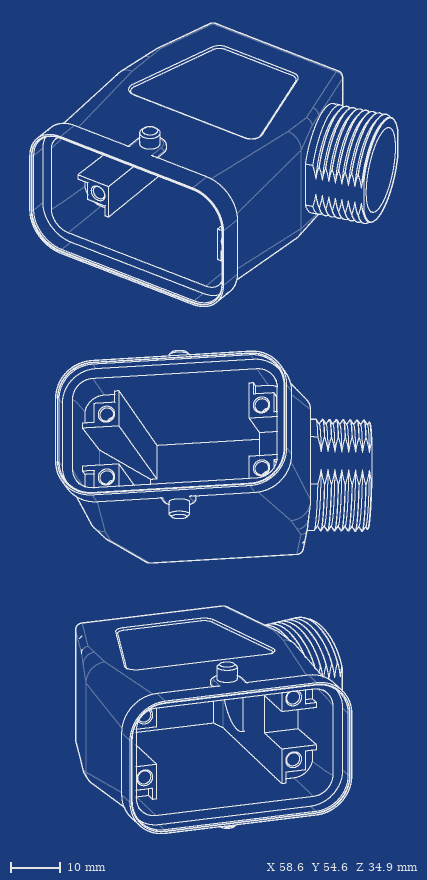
import cadquery as cq
import math


FLANGE_WIDTH = 48.05
FLANGE_HEIGHT = 28.6
FLANGE_DEPTH = 5.0
FLANGE_RADIUS = 7.6
RIM_WALL = 0.65
RIM_EDGE_CHAMFER = 0.25
LEDGE_DEPTH = 3.75

SHELL_WIDTH = 46.0
SHELL_HEIGHT = 26.6
SHELL_LENGTH = 54.1
BEND_Y = 29.2
LEAN = math.radians(15)
SHORT_BASE_RADIUS = 7.05
LONG_BASE_RADIUS = 7.5
SHORT_BEND_RADIUS = 3.3
LONG_BEND_RADIUS = 4.1
EDGE_RADIUS = 1.4
TOP_EDGE_RADIUS = 1.35
SHORT_BLEND_END = 35.45
LONG_BLEND_END = 39.3

CAVITY_WIDTH = 41.75
CAVITY_HEIGHT = 22.4
MOUTH_RADIUS = 4.2
CAVITY_DRAFT = 0.4
CAVITY_FLOOR_Y = 51.4
ENTRY_BLOCK_Y = 23.45
ENTRY_FLOOR_X = 12.65

BOSS_INNER_X = 13.55
BOSS_INNER_Z = 4.05
BOSS_FRONT_Y = 13.0
POCKET_FLOOR_Y = 15.4
POCKET_INNER_X = 14.4
POCKET_INNER_Z = 5.1
PILLAR_OUTER_X = 18.7
PILLAR_OUTER_Z = 9.15
SCREW_X = 16.1
SCREW_Z = 6.7
SCREW_DIAMETER = 2.8
SCREW_DEPTH = 7.05
SCREW_CHAMFER = 0.3

PIN_Y = 8.3
PIN_DIAMETER = 4.15
PIN_SPAN = 34.9
PIN_CHAMFER = 0.5
PAD_RADIUS = 3.4
PAD_EDGE_RADIUS = 0.65

ENTRY_END_X = 31.95
ENTRY_END_Y = 44.7
ENTRY_LENGTH = 17.6
THREAD_RADIUS = 11.4
THREAD_FLAT = 10.2
GROOVE_DEPTH = 1.0
GROOVE_PITCH = 1.4
GROOVE_WIDTH = 1.35
GROOVE_COUNT = 8
FIRST_GROOVE = 0.5
ENTRY_CHAMFER = 0.6
BORE_RADIUS = 8.8

LABEL_BOTTOM_Y = 22.35
LABEL_TOP_Y = 47.4
LABEL_BOTTOM_WIDTH = 33.7
LABEL_RADIUS = 2.35
LABEL_DEPTH = 0.4
LABEL_DRAFT = 45


def half_width_at(y):
    """Half the outer width of the shell at a given Y."""
    return SHELL_WIDTH / 2 - max(0.0, y - BEND_Y) * math.tan(LEAN)


def section(y, half_x, radii):
    """Rounded outline across Y; the radii run from (+X, +Z) through (-X, +Z) and (-X, -Z) to (+X, -Z)."""
    half_z = SHELL_HEIGHT / 2
    signs = ((1, 1), (-1, 1), (-1, -1), (1, -1))
    edges = []
    corners = []
    for (sx, sz), radius in zip(signs, radii):
        inset = radius * (1 - math.sqrt(0.5))
        on_side = cq.Vector(sx * half_x, y, sz * (half_z - radius))
        middle = cq.Vector(sx * (half_x - inset), y, sz * (half_z - inset))
        on_face = cq.Vector(sx * (half_x - radius), y, sz * half_z)
        start, end = (on_side, on_face) if sx == sz else (on_face, on_side)
        corners.append((start, middle, end))
    for index, (start, middle, end) in enumerate(corners):
        next_start = corners[(index + 1) % len(corners)][0]
        edges.append(cq.Edge.makeThreePointArc(start, middle, end))
        edges.append(cq.Edge.makeLine(end, next_start))
    return cq.Wire.assembleEdges(edges)


def make_shell():
    blend_part = (SHORT_BLEND_END - BEND_Y) / (LONG_BLEND_END - BEND_Y)
    long_radius = LONG_BEND_RADIUS + blend_part * (EDGE_RADIUS - LONG_BEND_RADIUS)
    stations = (
        (0.0, SHORT_BASE_RADIUS, LONG_BASE_RADIUS),
        (BEND_Y, SHORT_BEND_RADIUS, LONG_BEND_RADIUS),
        (SHORT_BLEND_END, EDGE_RADIUS, long_radius),
        (LONG_BLEND_END, EDGE_RADIUS, EDGE_RADIUS),
        (SHELL_LENGTH, EDGE_RADIUS, EDGE_RADIUS),
    )
    sections = [section(y, half_width_at(y), (short, long) * 2) for y, short, long in stations]
    shell = cq.Workplane(cq.Solid.makeLoft(sections, True))
    return shell.faces(">Y").edges().fillet(TOP_EDGE_RADIUS)


def rounded_block(width, height, radius, start_y, end_y):
    return (
        cq.Workplane("XZ", origin=(0, start_y, 0))
        .rect(width, height)
        .extrude(start_y - end_y)
        .edges("|Y")
        .fillet(radius)
    )


def make_rim_recess():
    def inset_block(inset, depth):
        width = FLANGE_WIDTH - 2 * inset
        height = FLANGE_HEIGHT - 2 * inset
        return rounded_block(width, height, FLANGE_RADIUS - inset, 0, depth)

    flare = inset_block(RIM_WALL - RIM_EDGE_CHAMFER, 2 * RIM_EDGE_CHAMFER)
    flare = flare.faces(">Y").chamfer(RIM_EDGE_CHAMFER)
    return inset_block(RIM_WALL, LEDGE_DEPTH).union(flare)


def box_between(x, y, z):
    size = (x[1] - x[0], y[1] - y[0], z[1] - z[0])
    return cq.Workplane("XY").box(*size, centered=False).translate((x[0], y[0], z[0]))


def make_boss():
    """The boss in the (+X, +Z) corner, larger than the cavity corner it fills."""
    outer_x = SHELL_WIDTH / 2
    outer_z = SHELL_HEIGHT / 2
    back = SHELL_LENGTH
    boss = box_between((BOSS_INNER_X, outer_x), (BOSS_FRONT_Y, back), (BOSS_INNER_Z, outer_z))
    pocket = box_between(
        (POCKET_INNER_X, outer_x), (BOSS_FRONT_Y, POCKET_FLOOR_Y), (POCKET_INNER_Z, outer_z)
    )
    pillar = box_between(
        (POCKET_INNER_X, PILLAR_OUTER_X), (BOSS_FRONT_Y, POCKET_FLOOR_Y), (POCKET_INNER_Z, PILLAR_OUTER_Z)
    )
    return boss.cut(pocket.cut(pillar))


def make_screw_hole():
    hole = cq.Workplane("XZ", origin=(SCREW_X, BOSS_FRONT_Y, SCREW_Z))
    hole = hole.circle(SCREW_DIAMETER / 2).extrude(-SCREW_DEPTH)
    mouth = cq.Solid.makeCone(
        SCREW_DIAMETER / 2 + SCREW_CHAMFER, SCREW_DIAMETER / 2, SCREW_CHAMFER,
        pnt=cq.Vector(SCREW_X, BOSS_FRONT_Y, SCREW_Z), dir=cq.Vector(0, 1, 0),
    )
    return hole.union(cq.Workplane(mouth))


def in_four_corners(shape):
    pair = shape.union(shape.mirror("YZ"))
    return pair.union(pair.mirror("XY"))


def make_cavity():
    half_x = CAVITY_WIDTH / 2
    mouth_x = half_x + CAVITY_DRAFT
    mouth_z = CAVITY_HEIGHT / 2 + CAVITY_DRAFT
    wall = SHELL_WIDTH / 2 - half_x
    inner_bend_y = BEND_Y - wall * math.tan(LEAN / 2)
    floor_x = half_x - (CAVITY_FLOOR_Y - inner_bend_y) * math.tan(LEAN)
    entry_bend_y = CAVITY_FLOOR_Y - (BOSS_INNER_X - ENTRY_FLOOR_X) / math.tan(LEAN)
    profile = (
        cq.Workplane("XY", origin=(0, 0, -mouth_z))
        .polyline([
            (-mouth_x, LEDGE_DEPTH),
            (-half_x, inner_bend_y),
            (-floor_x, CAVITY_FLOOR_Y),
            (ENTRY_FLOOR_X, CAVITY_FLOOR_Y),
            (BOSS_INNER_X, entry_bend_y),
            (BOSS_INNER_X, ENTRY_BLOCK_Y),
            (half_x, ENTRY_BLOCK_Y),
            (mouth_x, LEDGE_DEPTH),
        ])
        .close()
        .extrude(2 * mouth_z)
    )
    draft_angle = math.degrees(math.atan(CAVITY_DRAFT / (CAVITY_FLOOR_Y - LEDGE_DEPTH)))
    mouth = cq.Sketch().rect(2 * mouth_x, 2 * mouth_z).vertices().fillet(MOUTH_RADIUS)
    drafted_bore = (
        cq.Workplane("XZ", origin=(0, LEDGE_DEPTH, 0))
        .placeSketch(mouth)
        .extrude(LEDGE_DEPTH - CAVITY_FLOOR_Y, taper=draft_angle)
    )
    cavity = profile.intersect(drafted_bore).cut(in_four_corners(make_boss()))
    return cavity.union(in_four_corners(make_screw_hole()))


def entry_plane():
    """Plane on the outer end of the cable entry, with its normal pointing outwards along the axis."""
    return cq.Plane(
        origin=(ENTRY_END_X, ENTRY_END_Y, 0), xDir=(0, 0, 1), normal=(math.cos(LEAN), math.sin(LEAN), 0)
    )


def make_cable_entry():
    root_radius = THREAD_RADIUS - GROOVE_DEPTH
    half_groove = GROOVE_WIDTH / 2
    end = entry_plane()
    entry = cq.Workplane(end).circle(THREAD_RADIUS).extrude(-ENTRY_LENGTH)
    entry = entry.faces(cq.selectors.DirectionMinMaxSelector(end.zDir)).chamfer(ENTRY_CHAMFER)
    axial_plane = cq.Plane(origin=end.origin, xDir=end.xDir, normal=end.yDir.multiply(-1))
    for index in range(GROOVE_COUNT):
        middle = -FIRST_GROOVE - index * GROOVE_PITCH
        groove = (
            cq.Workplane(axial_plane)
            .polyline([
                (root_radius, middle),
                (THREAD_RADIUS, middle - half_groove),
                (THREAD_RADIUS, middle + half_groove),
            ])
            .close()
            .revolve(360, (0, 0, 0), (0, 1, 0))
        )
        entry = entry.cut(groove)
    between_flats = cq.Workplane(end).rect(2 * THREAD_RADIUS, 2 * THREAD_FLAT).extrude(-ENTRY_LENGTH)
    return entry.intersect(between_flats)


def make_pin_and_pad():
    pad_height = FLANGE_HEIGHT / 2
    foot = box_between((-PAD_RADIUS, PAD_RADIUS), (0, PIN_Y), (0, pad_height))
    pad = cq.Workplane("XY").center(0, PIN_Y).circle(PAD_RADIUS).extrude(pad_height).union(foot)
    pad = pad.faces(">Z").edges("not <Y").fillet(PAD_EDGE_RADIUS)
    pin = cq.Workplane("XY").center(0, PIN_Y).circle(PIN_DIAMETER / 2).extrude(PIN_SPAN / 2)
    pin = pin.faces(">Z").chamfer(PIN_CHAMFER)
    return pad.union(pin)


def make_label_recess():
    top_width = LABEL_BOTTOM_WIDTH - 2 * (LABEL_TOP_Y - LABEL_BOTTOM_Y) * math.tan(LEAN)
    outline = (
        cq.Sketch()
        .polygon([
            (-LABEL_BOTTOM_WIDTH / 2, LABEL_BOTTOM_Y),
            (LABEL_BOTTOM_WIDTH / 2, LABEL_BOTTOM_Y),
            (top_width / 2, LABEL_TOP_Y),
            (-top_width / 2, LABEL_TOP_Y),
            (-LABEL_BOTTOM_WIDTH / 2, LABEL_BOTTOM_Y),
        ])
        .vertices()
        .fillet(LABEL_RADIUS)
    )
    return (
        cq.Workplane("XY", origin=(0, 0, SHELL_HEIGHT / 2))
        .placeSketch(outline)
        .extrude(-LABEL_DEPTH, taper=LABEL_DRAFT)
    )


pin_and_pad = make_pin_and_pad()
housing = (
    make_shell()
    .union(rounded_block(FLANGE_WIDTH, FLANGE_HEIGHT, FLANGE_RADIUS, 0, FLANGE_DEPTH))
    .union(make_cable_entry())
    .union(pin_and_pad)
    .union(pin_and_pad.mirror("XY"))
)
bore_depth = (ENTRY_END_X - ENTRY_FLOOR_X) / math.cos(LEAN)
cable_bore = cq.Workplane(entry_plane()).circle(BORE_RADIUS).extrude(-bore_depth)

hood = housing.cut(make_rim_recess()).cut(make_cavity()).cut(cable_bore).cut(make_label_recess())
result = cq.Workplane(hood.solids().val())